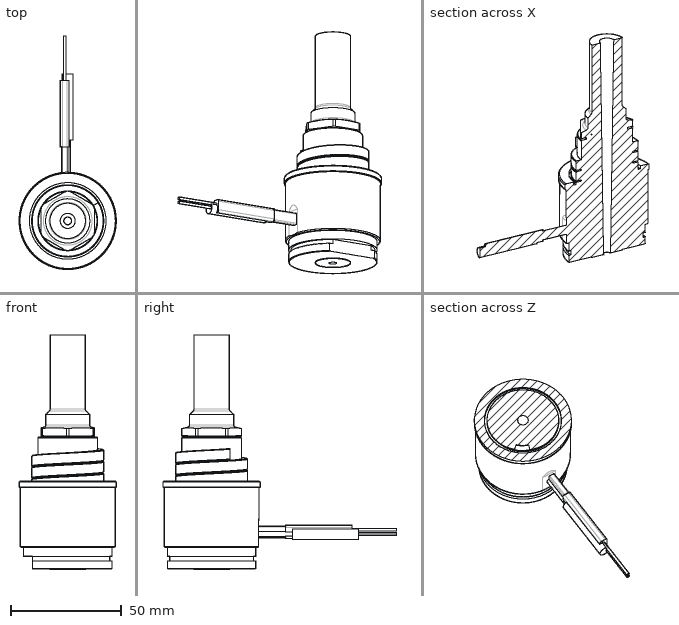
import cadquery as cq
import math

total_height = 106.0
end_disc_height = 0.3
groove_bottom = 4.0
groove_top = 6.0
housing_bottom = 10.0
flange_bottom = 37.0
flange_top = 40.0
sleeve_top = 59.8
nut_bottom = 60.4
nut_top = 64.3
shoulder_top = 70.0

shaft_radius = 8.0
shoulder_radius = 10.0
neck_radius = 10.8
sleeve_radius = 13.5
flange_radius = 22.0
housing_radius = 21.5
foot_radius = 20.0
foot_groove_radius = 19.0
recess_radius = 17.3
recess_depth = 1.5

shaft_fillet = 1.2
shoulder_cone_angle = math.radians(45)
quarter_arc_middle = math.radians(45)
nut_fillet = 1.0
edge_chamfer = 0.5
small_chamfer = 0.3

nut_sides = 6
nut_across_flats = 24.0
nut_corner_diameter = 27.0
nut_chamfer_height = 0.6

foot_flat_distance = 16.0
cable_flat_distance = 21.2
cable_flat_top = 21.5
cable_flat_runout = 2.5

bore_top_diameter = 6.8
bore_bottom_diameter = 3.4

thread_radius = 16.3
thread_pitch = 5.3
thread_gap = 0.35
thread_chamfer = 0.3
thread_turns = 3.5
thread_end_angle = 31.0
thread_end_top = 54.6
thread_overlap = 0.3

wire_end = 83.5
wire_diameter = 1.3
wire_spacing = 1.9
cable_x = -1.35
cable_z = 17.05
cable_width = 2.9
cable_height = 5.3
cable_corner = 0.5
cable_wrap_start = 33.4
wrap_length = 30.0
cable_wrap_width = 4.05
cable_wrap_height = 6.0
cable_wrap_corner = 1.0
round_cable_x = 0.0
round_cable_z = 16.05
round_cable_diameter = 2.3
round_wrap_start = 36.4
round_wrap_diameter = 5.0


def turned_body():
    """Foot, housing, flange, threaded sleeve, shoulder and shaft in one revolve."""
    cone_start = shoulder_top + (shoulder_radius - shaft_radius) / math.tan(shoulder_cone_angle)
    half_cone_angle = shoulder_cone_angle / 2
    fillet_reach = shaft_fillet * math.tan(half_cone_angle)
    fillet_end_out = fillet_reach * math.sin(shoulder_cone_angle)
    fillet_end_down = fillet_reach * math.cos(shoulder_cone_angle)
    fillet_centre_r = shaft_radius + shaft_fillet
    fillet_centre_z = cone_start + fillet_reach
    fillet_mid = (
        fillet_centre_r - shaft_fillet * math.cos(half_cone_angle),
        fillet_centre_z - shaft_fillet * math.sin(half_cone_angle),
    )
    nut_fillet_mid = nut_fillet * (1 - math.cos(quarter_arc_middle))
    return (
        cq.Workplane("XZ")
        .lineTo(shaft_radius, 0)
        .lineTo(shaft_radius, end_disc_height)
        .lineTo(foot_radius - small_chamfer, end_disc_height)
        .lineTo(foot_radius, end_disc_height + small_chamfer)
        .lineTo(foot_radius, groove_bottom)
        .lineTo(foot_groove_radius, groove_bottom)
        .lineTo(foot_groove_radius, groove_top)
        .lineTo(foot_radius, groove_top)
        .lineTo(foot_radius, housing_bottom)
        .lineTo(housing_radius - edge_chamfer, housing_bottom)
        .lineTo(housing_radius, housing_bottom + edge_chamfer)
        .lineTo(housing_radius, flange_bottom)
        .lineTo(flange_radius - small_chamfer, flange_bottom)
        .lineTo(flange_radius, flange_bottom + small_chamfer)
        .lineTo(flange_radius, flange_top - edge_chamfer)
        .lineTo(flange_radius - edge_chamfer, flange_top)
        .lineTo(recess_radius, flange_top)
        .lineTo(recess_radius, flange_top - recess_depth)
        .lineTo(sleeve_radius, flange_top - recess_depth)
        .lineTo(sleeve_radius, sleeve_top - small_chamfer)
        .lineTo(sleeve_radius - small_chamfer, sleeve_top)
        .lineTo(neck_radius, sleeve_top)
        .lineTo(neck_radius, nut_top)
        .lineTo(shoulder_radius + nut_fillet, nut_top)
        .threePointArc(
            (shoulder_radius + nut_fillet_mid, nut_top + nut_fillet_mid),
            (shoulder_radius, nut_top + nut_fillet),
        )
        .lineTo(shoulder_radius, shoulder_top)
        .lineTo(shaft_radius + fillet_end_out, cone_start - fillet_end_down)
        .threePointArc(fillet_mid, (shaft_radius, fillet_centre_z))
        .lineTo(shaft_radius, total_height)
        .lineTo(0, total_height)
        .close()
        .revolve(360, (0, 0, 0), (0, 1, 0))
    )


def hexagon_nut():
    """Hexagon with its corners turned down and its top edge coned."""
    hexagon = (
        cq.Workplane("XY", origin=(0, 0, nut_bottom))
        .polygon(nut_sides, nut_across_flats, circumscribed=True)
        .extrude(nut_top - nut_bottom)
    )
    corner_radius = nut_corner_diameter / 2
    nut_face_radius = shoulder_radius + nut_fillet
    envelope = (
        cq.Workplane("XZ")
        .moveTo(0, nut_bottom)
        .lineTo(corner_radius, nut_bottom)
        .lineTo(corner_radius, nut_top - nut_chamfer_height)
        .lineTo(nut_face_radius, nut_top)
        .lineTo(0, nut_top)
        .close()
        .revolve(360, (0, 0, 0), (0, 1, 0))
    )
    return hexagon.intersect(envelope)


def thread_rib():
    """Right-handed helical rib whose lower turns sink into the housing."""
    rise = thread_turns * thread_pitch
    half_width = (thread_pitch - thread_gap) / 2
    root = sleeve_radius - thread_overlap
    edge = thread_radius - thread_chamfer
    helix = cq.Wire.makeHelix(thread_pitch, rise, sleeve_radius)
    rib = (
        cq.Workplane("XZ")
        .moveTo(root, -half_width)
        .lineTo(edge, -half_width)
        .lineTo(thread_radius, thread_chamfer - half_width)
        .lineTo(thread_radius, half_width - thread_chamfer)
        .lineTo(edge, half_width)
        .lineTo(root, half_width)
        .close()
        .sweep(cq.Workplane(obj=helix), isFrenet=True)
    )
    start_angle = thread_end_angle - 360 * thread_turns
    start_height = thread_end_top - half_width - rise
    return rib.rotate((0, 0, 0), (0, 0, 1), start_angle).translate((0, 0, start_height))


def cut_foot_flat(body):
    """Flat on the -X side, from the base up to the top of the foot groove."""
    cutter = cq.Workplane("XY").box(
        foot_radius, 2 * foot_radius, groove_top, centered=(False, True, False)
    )
    return body.cut(cutter.translate((-foot_flat_distance - foot_radius, 0, 0)))


def cut_cable_flat(body):
    """Shallow flat on the +Y side of the housing, sloping out at its top."""
    cutter = (
        cq.Workplane("YZ")
        .moveTo(cable_flat_distance, housing_bottom)
        .lineTo(flange_radius, housing_bottom)
        .lineTo(flange_radius, cable_flat_top + cable_flat_runout)
        .lineTo(housing_radius, cable_flat_top + cable_flat_runout)
        .lineTo(cable_flat_distance, cable_flat_top)
        .close()
        .extrude(foot_radius, both=True)
    )
    return body.cut(cutter)


def cut_bore(body):
    """Bore that narrows steadily from the shaft end down to the base."""
    bore = (
        cq.Workplane("XZ")
        .lineTo(bore_bottom_diameter / 2, 0)
        .lineTo(bore_top_diameter / 2, total_height)
        .lineTo(0, total_height)
        .close()
        .revolve(360, (0, 0, 0), (0, 1, 0))
    )
    return body.cut(bore)


def rounded_bar(x, z, width, height, corner, start, end):
    """Rounded rectangular bar running along Y."""
    return (
        cq.Workplane("XZ", origin=(x, start, z))
        .rect(width, height)
        .extrude(start - end)
        .edges("|Y")
        .fillet(corner)
    )


def round_bar(x, z, diameter, start, end):
    """Round bar running along Y."""
    return cq.Workplane("XZ", origin=(x, start, z)).circle(diameter / 2).extrude(start - end)


def cables():
    """Two cables with their wraps, and the two bare wires beyond them."""
    cable_root = foot_radius
    cable_wrap_end = cable_wrap_start + wrap_length
    round_wrap_end = round_wrap_start + wrap_length
    parts = rounded_bar(
        cable_x, cable_z, cable_width, cable_height, cable_corner, cable_root, cable_wrap_end
    )
    parts = parts.union(
        rounded_bar(
            cable_x, cable_z, cable_wrap_width, cable_wrap_height,
            cable_wrap_corner, cable_wrap_start, cable_wrap_end,
        )
    )
    for diameter, start in (
        (round_cable_diameter, cable_root),
        (round_wrap_diameter, round_wrap_start),
    ):
        parts = parts.union(round_bar(round_cable_x, round_cable_z, diameter, start, round_wrap_end))
    for side in (-1, 1):
        wire_z = cable_z + side * wire_spacing / 2
        parts = parts.union(round_bar(cable_x, wire_z, wire_diameter, cable_wrap_start, wire_end))
    return parts


body = turned_body().union(hexagon_nut()).union(thread_rib())
body = cut_foot_flat(body)
body = cut_cable_flat(body)
body = cut_bore(body)
result = body.union(cables())